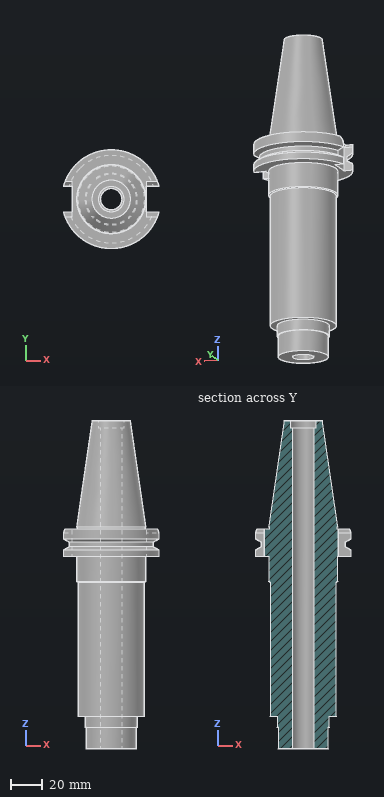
import cadquery as cq
import math


gauge_radius = 44.45 / 2
shank_length = 68.25
taper_ratio = 7 / 24
shank_tip_radius = gauge_radius - shank_length * taper_ratio / 2
relief_radius = 43.8 / 2

flange_radius = 63.5 / 2
flange_top_z = -1.2
flange_bottom_z = -19.05
groove_center_z = -11.2
groove_mouth_width = 7.0
groove_floor_radius = 28.2
groove_flank_angle = 30
groove_depth = flange_radius - groove_floor_radius
groove_floor_width = groove_mouth_width - 2 * groove_depth * math.tan(math.radians(groove_flank_angle))

collar_radius = gauge_radius
collar_bottom_z = -35.0
body_radius = 42.5 / 2
collar_taper_length = 0.5
body_top_z = collar_bottom_z - collar_taper_length
total_projection = 142.2
nose_length = 20.7
band_length = 7.0
band_radius = 33.4 / 2
nose_radius = 32.2 / 2
nose_bottom_z = -total_projection
nose_top_z = nose_bottom_z + nose_length
band_bottom_z = nose_top_z - band_length

bore_diameter = 13.5
pilot_diameter = 16.3
pilot_depth = 4.75

slot_width = 16.38
slot_floor_left_x = -25.0
slot_floor_right_x = 22.5
slot_chamfer_width = 3.1
slot_chamfer_height = 2.5

plug_diameter = 9.7
plug_length = 5.0


def revolved_body():
    """Shank, grooved flange, collar, body and nose as one turned solid."""
    half_mouth = groove_mouth_width / 2
    half_floor = groove_floor_width / 2
    profile = [
        (0, shank_length),
        (shank_tip_radius, shank_length),
        (gauge_radius, 0),
        (relief_radius, 0),
        (relief_radius, flange_top_z),
        (flange_radius, flange_top_z),
        (flange_radius, groove_center_z + half_mouth),
        (groove_floor_radius, groove_center_z + half_floor),
        (groove_floor_radius, groove_center_z - half_floor),
        (flange_radius, groove_center_z - half_mouth),
        (flange_radius, flange_bottom_z),
        (collar_radius, flange_bottom_z),
        (collar_radius, collar_bottom_z),
        (body_radius, body_top_z),
        (body_radius, nose_top_z),
        (band_radius, nose_top_z),
        (band_radius, band_bottom_z),
        (nose_radius, band_bottom_z),
        (nose_radius, nose_bottom_z),
        (0, nose_bottom_z),
    ]
    return cq.Workplane("XZ").polyline(profile).close().revolve(360, (0, 0), (0, 1))


def axial_bore():
    """Through bore with the wider pilot recess at the shank tip."""
    bore = cq.Workplane("XY", origin=(0, 0, nose_bottom_z)).circle(bore_diameter / 2)
    bore = bore.extrude(total_projection + shank_length)
    pilot = cq.Workplane("XY", origin=(0, 0, shank_length)).circle(pilot_diameter / 2)
    return bore.union(pilot.extrude(-pilot_depth))


def drive_slot(floor_x):
    """Slot from floor_x outward past the rim, with its upper edges chamfered."""
    half_width = slot_width / 2
    half_mouth = half_width + slot_chamfer_width
    chamfer_bottom_z = flange_top_z - slot_chamfer_height
    outline = [
        (-half_width, flange_bottom_z),
        (half_width, flange_bottom_z),
        (half_width, chamfer_bottom_z),
        (half_mouth, flange_top_z),
        (-half_mouth, flange_top_z),
        (-half_width, chamfer_bottom_z),
    ]
    run = math.copysign(flange_radius, floor_x)
    return cq.Workplane("YZ", origin=(floor_x, 0, 0)).polyline(outline).close().extrude(run)


def slot_plug():
    """Round plug whose outer end is flush with the left slot floor."""
    plane = cq.Workplane("YZ", origin=(slot_floor_left_x, 0, groove_center_z))
    return plane.circle(plug_diameter / 2).extrude(plug_length)


holder = revolved_body().cut(axial_bore())
for slot_floor_x in (slot_floor_left_x, slot_floor_right_x):
    holder = holder.cut(drive_slot(slot_floor_x))

plug = slot_plug()
result = holder.cut(plug).union(plug, clean=False)